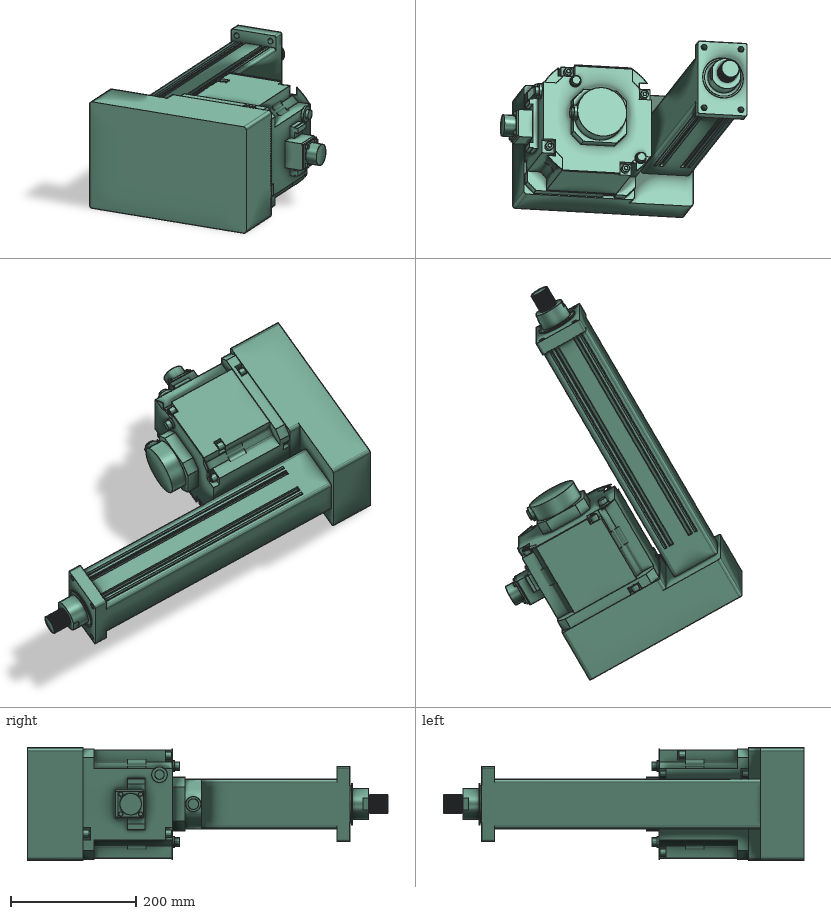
import cadquery as cq
import math


housing_length = 280.0
housing_height = 180.0
housing_depth = 70.0
housing_corner = 5.0
cylinder_offset = 45.0
housing_left = -cylinder_offset
adapter_size = housing_height
adapter_back = 89.0
motor_x = housing_left + housing_length - adapter_size / 2

tube_size = 80.0
tube_corner = 5.0
end_block_back = 118.0
flange_front = 494.0
flange_back = 515.0
flange_height = 120.0
flange_corner = 3.0
flange_hole_diameter = 9.0
flange_hole_x = 30.0
flange_hole_z = 50.0
wiper_step_back = 517.2
wiper_back = 518.7
wiper_inner_radius = 30.0
wiper_radius = 33.0
nose_back = 545.0
nose_radius = 25.0
flat_start = 536.0
flat_half_width = 23.0
rod_end = 576.0
thread_radius = 15.0
thread_pitch = 1.5
thread_depth = 0.9
plate_half_width = 14.0
groove_width = 5.5
groove_depth = 6.0
lip_width = 1.7
lip_depth = 1.0
vee_inner, vee_outer = 25.5, 30.0
vee_depth = 2.2

motor_half_x = 88.2
motor_half_z = 86.5
motor_front_back = 106.5
front_block_half = motor_half_x
front_block_chamfer = 14.0
motor_back = 232.0
back_plate_thickness = 1.0
notch_edge = 57.0
facet_edge = 67.0
back_plate_radius = math.hypot(notch_edge, motor_half_z)
small_fillet_radius = 3.0
large_fillet_start, large_fillet_end = 159.5, 189.5
large_fillet_radius = 11.0

pocket_width = 20.0
pocket_drop = 18.0
pocket_length = 11.5
back_pocket_overrun = 7.0
pocket_head_radius = 6.0
pocket_screw_radius = 3.0
pocket_head_clearance = 2.0

encoder_base_half = 43.0
encoder_base_chamfer = 16.0
encoder_base_back = 252.0
encoder_back = 278.0
encoder_radius = 40.0
encoder_shift = 2.0
plug_y = 265.0
plug_collar_radius, plug_collar_x = 12.0, motor_x + 47.0
plug_radius, plug_x = 8.5, motor_x + 50.5

earth_pocket_width = 16.0
earth_pocket_drop = 16.0
earth_pocket_end = 202.0
earth_head_radius = 6.0

back_bolt_places = ((-70.0, -60.5), (36.5, 60.5))
back_bolt_radius = 7.0
back_bolt_end = 243.0
back_washer_radius = 8.8
back_washer_thickness = 3.0

connector_y = 165.0
connector_front = 24.0
connector_rear = 20.0
connector_half_height = 22.5
connector_block_chamfer = 2.0
connector_block_x = motor_x + 119.5
connector_collar_x = motor_x + 122.5
connector_collar_half = 20.5
barrel_radius = 17.2
collar_screw_offset = 15.8
collar_screw_radius = 3.3
collar_screw_x = motor_x + 126.0
clamp_x = motor_x + 96.0
clamp_margin = 1.5
clamp_half_height = 41.5
clamp_lug_z = 36.0
clamp_lug_height = 8.4
clamp_lug_x = motor_x + 102.0
side_bolt_y = 211.0
side_bolt_z = 47.0
side_washer_radius, side_washer_x = 12.5, motor_x + 92.5
side_bolt_radius, side_bolt_x = 7.5, motor_x + 98.0
overall_length = 330.85
connector_tip = housing_left + overall_length


def bar_y(width, height, start, end, x=0.0, z=0.0):
    """Rectangular bar along Y, centred on (x, z)."""
    return cq.Workplane("XY").box(width, end - start, height).translate((x, (start + end) / 2, z))


def disc_y(radius, start, end, x=0.0, z=0.0):
    """Round disc or shaft along +Y."""
    return cq.Workplane("XZ", origin=(x, start, z)).circle(radius).extrude(start - end)


def disc_x(radius, start, end, y, z=0.0):
    """Round disc or shaft along +X."""
    return cq.Workplane("YZ", origin=(start, y, z)).circle(radius).extrude(end - start)


def box_between(x, y, z):
    """Box spanning the three (low, high) ranges."""
    return cq.Workplane("XY").box(x[1] - x[0], y[1] - y[0], z[1] - z[0], centered=False).translate(
        (x[0], y[0], z[0]))


def make_drive_housing():
    housing_x = housing_left + housing_length / 2
    housing = bar_y(housing_length, housing_height, 0, housing_depth, housing_x)
    adapter = bar_y(adapter_size, adapter_size, housing_depth, adapter_back, motor_x)
    return housing.union(adapter).edges("|Y").edges("<X or >X or <Z or >Z").fillet(housing_corner)


def groove_bar(inner, outer, depth, side, face):
    """Cutter for a square groove in the top (face = 1) or bottom (face = -1) of the tube."""
    x = side * (inner + outer) / 2
    return bar_y(outer - inner, 2 * depth, end_block_back, flange_front, x, face * tube_size / 2)


def vee_bar(side, face):
    """Cutter for a V groove in the top or bottom of the tube."""
    surface = face * tube_size / 2
    points = [
        (side * vee_inner, surface),
        (side * (vee_inner + vee_outer) / 2, surface - face * vee_depth),
        (side * vee_outer, surface),
    ]
    length = flange_front - end_block_back
    return cq.Workplane("XZ", origin=(0, end_block_back, 0)).polyline(points).close().extrude(-length)


def make_tube():
    tube = bar_y(tube_size, tube_size, housing_depth, flange_front).edges("|Y").fillet(tube_corner)
    groove_outer = plate_half_width + groove_width
    for side in (-1, 1):
        for face in (-1, 1):
            tube = tube.cut(groove_bar(plate_half_width, groove_outer, groove_depth, side, face))
            tube = tube.cut(groove_bar(groove_outer, groove_outer + lip_width, lip_depth, side, face))
            tube = tube.cut(vee_bar(side, face))
    return tube


def make_mounting_flange():
    flange = bar_y(tube_size, flange_height, flange_front, flange_back).edges("|Y").fillet(flange_corner)
    for x in (-flange_hole_x, flange_hole_x):
        for z in (-flange_hole_z, flange_hole_z):
            flange = flange.cut(disc_y(flange_hole_diameter / 2, flange_front, flange_back, x, z))
    return flange


def make_nose():
    nose = disc_y(nose_radius, wiper_back, nose_back)
    flats = bar_y(2 * flat_half_width, 2 * nose_radius, flat_start, nose_back)
    plain = disc_y(nose_radius, wiper_back, flat_start)
    nose = nose.intersect(flats.union(plain))
    wiper = disc_y(wiper_inner_radius, flange_back, wiper_step_back)
    return nose.union(wiper).union(disc_y(wiper_radius, wiper_step_back, wiper_back))


def make_rod_thread():
    """Threaded rod end, its thread drawn as a row of V ridges."""
    root = thread_radius - thread_depth
    points = [(0, nose_back), (root, nose_back)]
    turns = int((rod_end - nose_back) / thread_pitch)
    start = rod_end - turns * thread_pitch
    for turn in range(turns):
        points.append((root, start + turn * thread_pitch))
        points.append((thread_radius, start + (turn + 0.5) * thread_pitch))
    points += [(root, rod_end), (0, rod_end)]
    return cq.Workplane("XY").polyline(points).close().revolve(360, (0, 0, 0), (0, 1, 0))


def make_cylinder():
    return make_tube().union(make_mounting_flange()).union(make_nose()).union(make_rod_thread())


def notched_body(start, end):
    """Stretch of the motor body whose four corners are notched down to a 45 degree facet."""
    body = bar_y(2 * motor_half_x, 2 * motor_half_z, start, end, motor_x)
    for sx in (-1, 1):
        for sz in (-1, 1):
            corner = [
                (sx * notch_edge, sz * facet_edge),
                (sx * facet_edge, sz * notch_edge),
                (sx * front_block_half, sz * notch_edge),
                (sx * front_block_half, sz * front_block_half),
                (sx * notch_edge, sz * front_block_half),
            ]
            plane = cq.Workplane("XZ", origin=(motor_x, start, 0))
            body = body.cut(plane.polyline(corner).close().extrude(start - end))
    return body


def notch_fillets(body, radius):
    """Round the two inner edges of every corner notch."""
    middle = body.val().BoundingBox().center.y
    for sx in (-1, 1):
        for sz in (-1, 1):
            for x, z in ((notch_edge, facet_edge), (facet_edge, notch_edge)):
                point = (motor_x + sx * x, middle, sz * z)
                body = body.edges(cq.selectors.NearestToPointSelector(point)).fillet(radius)
    return body


def quarter_turns(shape):
    """Four copies of a shape, spread by quarter turns about the motor axis."""
    axis_start, axis_end = (motor_x, 0, 0), (motor_x, 1, 0)
    return [shape.rotate(axis_start, axis_end, 90 * turn) for turn in range(4)]


def sink_screw(body, pocket, head):
    return body.cut(pocket).union(head)


def make_motor_body():
    front_block = bar_y(2 * front_block_half, 2 * front_block_half, adapter_back, motor_front_back, motor_x)
    front_block = front_block.edges("|Y").chamfer(front_block_chamfer)
    body = notched_body(large_fillet_end, motor_back)
    body = body.union(notch_fillets(notched_body(motor_front_back, large_fillet_start), small_fillet_radius))
    body = body.union(notch_fillets(notched_body(large_fillet_start, large_fillet_end), large_fillet_radius))
    back_start = motor_back - back_plate_thickness
    back_plate = bar_y(2 * front_block_half, 2 * front_block_half, back_start, motor_back, motor_x)
    back_plate = back_plate.intersect(disc_y(back_plate_radius, back_start, motor_back, motor_x))
    body = body.union(front_block).union(back_plate)

    pocket_x = motor_x + notch_edge - pocket_width / 2
    for surface, overrun, start, end in (
        (motor_half_z, back_pocket_overrun, motor_back - pocket_length, motor_back),
        (front_block_half, 0, adapter_back, adapter_back + pocket_length),
    ):
        pocket = box_between(
            (pocket_x - pocket_width / 2, pocket_x + pocket_width / 2 + overrun),
            (start, end),
            (surface - pocket_drop, front_block_half),
        )
        head_z = surface - pocket_drop / 2
        head = disc_y(pocket_head_radius, start, end - pocket_head_clearance, pocket_x, head_z)
        head = head.union(disc_y(pocket_screw_radius, start, end, pocket_x, head_z))
        for turned_pocket, turned_head in zip(quarter_turns(pocket), quarter_turns(head)):
            body = sink_screw(body, turned_pocket, turned_head)

    earth_x = motor_x - notch_edge
    earth_pocket = box_between((earth_x, earth_x + earth_pocket_width), (large_fillet_end, earth_pocket_end),
                               (motor_half_z - earth_pocket_drop, motor_half_z))
    earth_head = disc_y(earth_head_radius, large_fillet_end, earth_pocket_end - pocket_head_clearance,
                        earth_x + earth_pocket_width / 2, motor_half_z - earth_pocket_drop / 2)
    return sink_screw(body, earth_pocket, earth_head)


def make_encoder():
    size = 2 * encoder_base_half
    base = bar_y(size, size, motor_back, encoder_base_back, motor_x).edges("|Y").chamfer(encoder_base_chamfer)
    cap_x = motor_x + encoder_shift
    cap = disc_y(encoder_radius, encoder_base_back, encoder_back, cap_x)
    plug = disc_x(plug_collar_radius, cap_x, plug_collar_x, plug_y)
    plug = plug.union(disc_x(plug_radius, cap_x, plug_x, plug_y))
    return base.union(cap).union(plug)


def make_back_bolts():
    bolts = cq.Workplane("XY")
    for offset, z in back_bolt_places:
        x = motor_x + offset
        bolts = bolts.union(disc_y(back_washer_radius, motor_back, motor_back + back_washer_thickness, x, z))
        bolts = bolts.union(disc_y(back_bolt_radius, motor_back, back_bolt_end, x, z))
    return bolts


def make_side_connector():
    """Connector block, barrel, clamp plate and side bolt on the +X side of the motor."""
    side = motor_x + motor_half_x
    block = box_between((side, connector_block_x),
                        (connector_y - connector_front, connector_y + connector_rear),
                        (-connector_half_height, connector_half_height))
    block = block.faces(">X").edges("|Y").chamfer(connector_block_chamfer)
    connector = block.union(box_between(
        (connector_block_x, connector_collar_x),
        (connector_y - connector_collar_half, connector_y + connector_collar_half),
        (-connector_collar_half, connector_collar_half)))
    connector = connector.union(disc_x(barrel_radius, connector_collar_x, connector_tip, connector_y))
    for dy in (-collar_screw_offset, collar_screw_offset):
        for z in (-collar_screw_offset, collar_screw_offset):
            connector = connector.union(
                disc_x(collar_screw_radius, connector_collar_x, collar_screw_x, connector_y + dy, z))

    clamp_y = (large_fillet_start, large_fillet_end - clamp_margin)
    clamp_z = (-clamp_half_height, clamp_half_height)
    connector = connector.union(box_between((side, clamp_x), clamp_y, clamp_z))
    for z in (-clamp_lug_z, clamp_lug_z):
        lug_z = (z - clamp_lug_height / 2, z + clamp_lug_height / 2)
        connector = connector.union(box_between((clamp_x, clamp_lug_x), clamp_y, lug_z))

    washer = disc_x(side_washer_radius, side, side_washer_x, side_bolt_y, side_bolt_z)
    bolt = disc_x(side_bolt_radius, side, side_bolt_x, side_bolt_y, side_bolt_z)
    return connector.union(washer).union(bolt)


def make_motor():
    motor = make_motor_body().union(make_encoder())
    return motor.union(make_back_bolts()).union(make_side_connector())


drive_housing = make_drive_housing()
cylinder = make_cylinder()
motor = make_motor()
result = cq.Compound.makeCompound([drive_housing.val(), cylinder.val(), motor.val()])